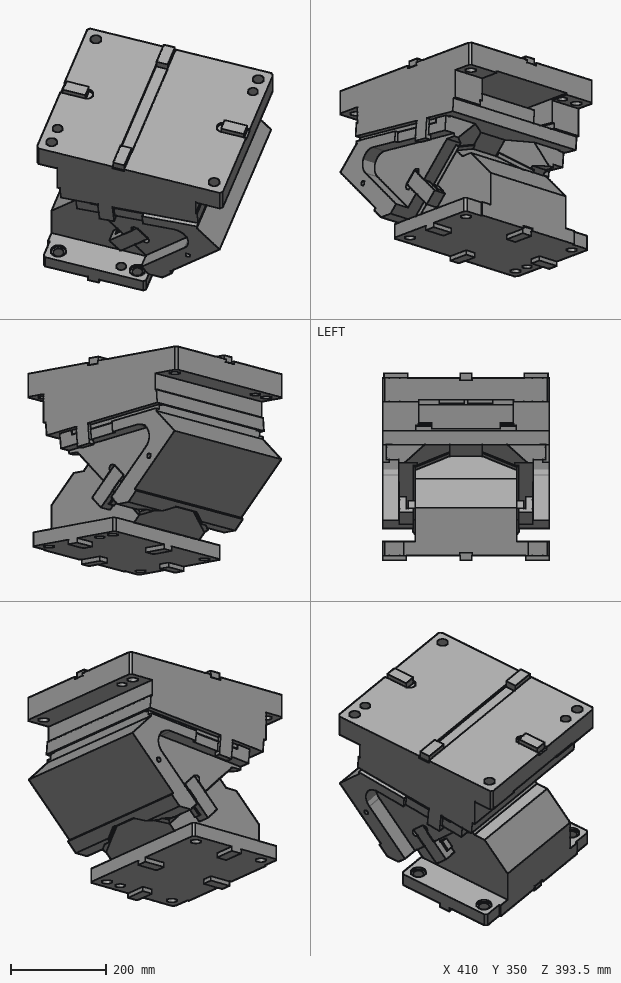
import cadquery as cq
import math

half_width = 175.0
far = 820.0

plate_length = 410.0
plate_thickness = 50.0
plate_top = 383.5
plate_bottom = plate_top - plate_thickness
corner_chamfer = 5.0
column_left = 46.0
column_right = 351.5
tilt = 5.0
foot_x, foot_z = 54.5, 243.0
foot_length = 304.0
foot_height = 29.0

key_height = 10.0
key_slot_depth = 5.7
key_slot_width = 26.2
key_width = 24.5
key_length = 50.0

cam_angle = -45.0
cam_x, cam_z = 117.3, 188.0
roof_length = 189.0
roof_half_width = 107.0
ridge_half_width = 34.0
roof_angle = math.radians(30)
roof_slope = math.tan(roof_angle)
ridge_height = (roof_half_width - ridge_half_width) * roof_slope

slide_half_width = 141.0
flange_half_width = 167.3
flange_depth = 34.5
side_underside = 6.5

clip_start = 81.0
clip_length = 32.5
clip_bottom = -44.3
hook_inner = 160.7

strap_start = 84.5
strap_width = 35.0
strap_bottom = -39.0
strap_top = 48.5
strap_inner = 125.0
strap_outer = 140.0
strap_foot_top = -26.5
strap_foot_inner = 110.3


def inclined_plane(x, z, angle):
    """XZ plane at (x, 0, z), its first axis raised by angle degrees from +X."""
    turn = math.radians(angle)
    return cq.Plane(origin=(x, 0, z), xDir=(math.cos(turn), 0, math.sin(turn)), normal=(0, -1, 0))


LEVEL = inclined_plane(0, 0, 0)
TILTED = inclined_plane(foot_x, foot_z, tilt)
CAM = inclined_plane(cam_x, cam_z, cam_angle)


def global_point(plane, first, second):
    """(x, z) of a point given on one of the inclined planes."""
    point = plane.toWorldCoords((first, second))
    return point.x, point.z


def box(plane, first, second, y_range):
    """Block on a plane, given by its ranges along the plane's two axes and along Y."""
    return (
        cq.Workplane(plane)
        .workplane(offset=-y_range[1])
        .center((first[0] + first[1]) / 2, (second[0] + second[1]) / 2)
        .rect(first[1] - first[0], second[1] - second[0])
        .extrude(y_range[1] - y_range[0])
    )


def both_sides(plane, first, second, inner, outer):
    """Two mirrored blocks, one on each side of Y = 0."""
    return box(plane, first, second, (inner, outer)).union(box(plane, first, second, (-outer, -inner)))


def prism(points, half):
    """Side outline in (x, z), extruded to both sides of Y = 0."""
    return cq.Workplane(LEVEL).polyline(points).close().extrude(half, both=True)


def cam_section(points, start, end):
    """Cross-section in (y, height above roof edge), extruded along the travel direction."""
    x, z = global_point(CAM, start, 0)
    plane = cq.Plane(origin=(x, 0, z), xDir=(0, 1, 0), normal=CAM.xDir.toTuple())
    return cq.Workplane(plane).polyline(points).close().extrude(end - start)


def vertical_holes(centers, diameter, bottom, top):
    """Vertical cylinders between two heights."""
    return (
        cq.Workplane("XY", origin=(0, 0, bottom))
        .pushPoints(centers)
        .circle(diameter / 2)
        .extrude(top - bottom)
    )


def cut_window(holder):
    """Window in the left side, running under the plate around a sloping inner block."""
    window_half_width = 99.2
    ceiling = plate_bottom + 3.5
    block_start = 53.5
    block_top = foot_height + 49.5
    edge_x, edge_z = global_point(TILTED, block_start, block_top)
    block_meets_ceiling = (edge_x + (ceiling - edge_z) / math.tan(math.radians(tilt)), ceiling)
    foot_corner = global_point(TILTED, 0, foot_height)
    window = prism(
        [
            (0, foot_corner[1]),
            foot_corner,
            global_point(TILTED, block_start, foot_height),
            (edge_x, edge_z),
            block_meets_ceiling,
            (0, ceiling),
        ],
        window_half_width,
    )

    boss_start = block_start + 41.0
    boss_inner, boss_outer = 4.0, 56.0
    bosses = both_sides(TILTED, (boss_start, far), (block_top, far), boss_inner, boss_outer)
    window = window.cut(bosses)

    notch_inner, notch_outer = 71.8, 105.0
    notch_mouth = 20.5
    notch_top = foot_height + 12.0
    notch_end = 102.5
    shelf_end = 127.0
    shelf = foot_height + 3.5
    notch_range = (-notch_mouth, notch_end)
    notch = both_sides(TILTED, notch_range, (foot_height, notch_top), notch_inner, notch_outer)
    upper_notch = both_sides(TILTED, (notch_end, shelf_end), (shelf, notch_top), notch_inner, notch_outer)
    return holder.cut(window.union(notch).union(upper_notch))


def make_holder():
    plate = box(LEVEL, (0, plate_length), (plate_bottom, plate_top), (-half_width, half_width))
    holder = plate.edges("|Z").chamfer(corner_chamfer)
    foot_top_left = global_point(TILTED, 0, foot_height)
    foot_top_right = global_point(TILTED, foot_length, foot_height)
    column = [
        (column_left, plate_bottom),
        (column_left, foot_top_left[1]),
        foot_top_left,
        global_point(TILTED, 0, 0),
        global_point(TILTED, foot_length, 0),
        foot_top_right,
        (column_right, foot_top_right[1]),
        (column_right, plate_bottom),
    ]
    holder = holder.union(prism(column, half_width))
    holder = cut_window(holder)

    slot_z = (plate_top - key_slot_depth, plate_top + 4)
    key_z = (plate_top - key_slot_depth, plate_top + key_height)
    slot_x = 181.0
    slot_range = (slot_x - key_slot_width / 2, slot_x + key_slot_width / 2)
    key_range = (slot_x - key_width / 2, slot_x + key_width / 2)
    key_end_y = 172.0
    holder = holder.cut(box(LEVEL, slot_range, slot_z, (-far, far)))
    holder = holder.union(both_sides(LEVEL, key_range, key_z, key_end_y - key_length, key_end_y))
    slot_length = 68.0
    key_gap = 5.5
    for end in (0, plate_length):
        inward = 1 if end == 0 else -1
        slot = (
            cq.Workplane("XY", origin=(end, 0, slot_z[0]))
            .slot2D(2 * slot_length, key_slot_width)
            .extrude(slot_z[1] - slot_z[0])
        )
        key_ends = sorted((end + inward * key_gap, end + inward * (key_gap + key_length)))
        key = box(LEVEL, key_ends, key_z, (-key_width / 2, key_width / 2))
        holder = holder.cut(slot).union(key)

    hole_inset = 26.0
    screw_hole = 23.0
    dowel_hole = 21.0
    hole_y = 150.0
    left, right = hole_inset, plate_length - hole_inset
    screw_centers = [(x, y) for x in (left, right) for y in (-hole_y, hole_y)]
    left_dowel_y, right_dowel_y = -110.3, 114.0
    dowel_centers = [(left, left_dowel_y), (right, right_dowel_y)]
    holder = holder.cut(vertical_holes(screw_centers, screw_hole, plate_bottom, plate_top))
    holder = holder.cut(vertical_holes(dowel_centers, dowel_hole, plate_bottom, plate_top))

    clip_range = (clip_start, clip_start + clip_length)
    leg = both_sides(TILTED, clip_range, (clip_bottom, 4), flange_half_width, half_width)
    hook = both_sides(TILTED, clip_range, (clip_bottom, -flange_depth), hook_inner, half_width)
    return holder.union(leg).union(hook)


def make_slide():
    left_end = 29.5
    right_end = 300.5
    nose_bottom = 205.0
    tail_bottom = 67.0
    underside_x = cam_x + cam_z + side_underside * math.sqrt(2)
    outline = [
        global_point(TILTED, left_end, 0),
        (87.7, nose_bottom),
        (underside_x - nose_bottom, nose_bottom),
        (underside_x - tail_bottom, tail_bottom),
        (278.5, tail_bottom),
        (299.5, 88.0),
        (295.0, 92.2),
        (404.5, 201.7),
        (354.2, 252.0),
        global_point(TILTED, right_end, 0),
    ]
    slide = prism(outline, half_width)

    clearance = 3.5
    deep = 164.0
    reach = roof_half_width + deep
    eave = -deep * roof_slope + clearance
    peak = ridge_height + clearance
    channel = [(-reach, eave), (-ridge_half_width, peak), (ridge_half_width, peak), (reach, eave)]
    slide = slide.cut(cam_section(channel, -far, far))

    wall_position = 154.0
    pocket_radius = 30.0
    under_flange = box(TILTED, (-far, far), (-far, -flange_depth), (slide_half_width, half_width))
    before_wall = box(CAM, (-far, wall_position), (-far, far), (slide_half_width, half_width))
    pocket = under_flange.intersect(before_wall).edges("|Y").edges(">X").fillet(pocket_radius)
    slide = slide.cut(pocket).cut(pocket.mirror("XZ"))

    step = 178.5
    ledge = -11.5
    rebate_start = 61.5
    rebate_half_width = 165.2
    top_gap = 1.5
    top_pad_half_width = 156.0
    slide = slide.cut(both_sides(TILTED, (-far, step), (-flange_depth, 4), flange_half_width, far))
    slide = slide.cut(both_sides(TILTED, (-far, far), (ledge, 4), flange_half_width, far))
    slide = slide.cut(both_sides(TILTED, (rebate_start, far), (ledge, 4), rebate_half_width, far))
    slide = slide.cut(both_sides(TILTED, (-far, far), (-top_gap, 4), top_pad_half_width, far))

    wear_thickness = 10.0
    wear_overhang = 10.2
    lean_y = wear_thickness * math.sin(roof_angle)
    lean_n = wear_thickness * math.cos(roof_angle)
    for side in (-1, 1):
        section = [
            (side * roof_half_width, 0),
            (side * (roof_half_width + lean_y), lean_n),
            (side * (ridge_half_width + lean_y), ridge_height + lean_n),
            (side * ridge_half_width, ridge_height),
        ]
        slide = slide.union(cam_section(section, -wear_overhang, roof_length))

    strap_range = (strap_start, strap_start + strap_width)
    relief_radius = 7.5
    relief_height = strap_top - 8.0
    for start in (-slide_half_width, strap_inner):
        reliefs = (
            cq.Workplane(CAM)
            .workplane(offset=start)
            .pushPoints([(travel, relief_height) for travel in strap_range])
            .circle(relief_radius)
            .extrude(slide_half_width - strap_inner)
        )
        slide = slide.cut(reliefs)
    strap_height = (strap_bottom, strap_top)
    slide = slide.cut(both_sides(CAM, strap_range, strap_height, strap_inner, slide_half_width))

    slide = slide.union(both_sides(CAM, strap_range, strap_height, strap_inner, strap_outer))
    foot_range = (strap_bottom, strap_foot_top)
    slide = slide.union(both_sides(CAM, strap_range, foot_range, strap_foot_inner, strap_outer))

    hole_x, hole_z = 334.0, 158.3
    hole_depth = 20.5
    wing_hole = 10.0
    for start in (-half_width, half_width - hole_depth):
        hole = (
            cq.Workplane(LEVEL)
            .workplane(offset=start)
            .center(hole_x, hole_z)
            .circle(wing_hole / 2)
            .extrude(hole_depth)
        )
        slide = slide.cut(hole)
    return slide


def make_adapter():
    front_x = 11.0
    base_left, base_right = 14.8, 240.5
    base_bottom, base_top = key_height, 39.8
    front_height = 110.5
    shoulder_z = 171.8
    upper_end = -1.2

    roof_end = global_point(CAM, roof_length, 0)
    base_end_x = roof_end[0] - roof_end[1] + base_top
    end_line = global_point(CAM, upper_end, 0)
    body = prism(
        [
            (front_x, base_bottom),
            (front_x, front_height),
            (front_x + shoulder_z - front_height, shoulder_z),
            (end_line[0] - end_line[1] + shoulder_z, shoulder_z),
            global_point(CAM, upper_end, ridge_height + 4),
            global_point(CAM, roof_length, ridge_height + 4),
            (base_end_x, base_top),
            (base_end_x, base_bottom),
        ],
        roof_half_width,
    )
    roof = [
        (-roof_half_width, -far),
        (-roof_half_width, 0),
        (-ridge_half_width, ridge_height),
        (ridge_half_width, ridge_height),
        (roof_half_width, 0),
        (roof_half_width, -far),
    ]
    body = body.intersect(cam_section(roof, -far, far))

    front_half_width = 130.5
    base_z = (base_bottom, base_top)
    base = box(LEVEL, (base_left, base_right), base_z, (-half_width, half_width))
    base = base.edges("|Z").chamfer(corner_chamfer)
    nose = box(LEVEL, (front_x, base_left), base_z, (-front_half_width, front_half_width))
    adapter = body.union(base).union(nose)

    rib_outer = 121.0
    rib_top = -4.5
    rib_range = (strap_start, strap_start + strap_width)
    ribs = both_sides(CAM, rib_range, (strap_foot_top, rib_top), roof_half_width, rib_outer)
    adapter = adapter.union(ribs)

    slot_top = base_bottom + key_slot_depth
    half_slot = key_slot_width / 2
    adapter = adapter.cut(box(LEVEL, (0, base_left), (0, slot_top), (-half_slot, half_slot)))
    for start in (base_left, base_right - key_length):
        key = box(LEVEL, (start, start + key_length), (0, base_bottom), (-key_width / 2, key_width / 2))
        adapter = adapter.union(key)
    side_key_x = 126.0
    key_range = (side_key_x - key_width / 2, side_key_x + key_width / 2)
    side_key_inner = half_width - key_length
    adapter = adapter.union(both_sides(LEVEL, key_range, (0, base_bottom), side_key_inner, half_width))

    screw_hole = 22.0
    counterbore = 32.0
    counterbore_depth = 5.0
    dowel_hole = 20.5
    hole_y = 150.0
    left_screw_x, right_screw_x = 40.5, 215.0
    dowel_x = 179.0
    screw_centers = [(x, y) for x in (left_screw_x, right_screw_x) for y in (-hole_y, hole_y)]
    adapter = adapter.cut(vertical_holes(screw_centers, screw_hole, base_bottom, base_top))
    adapter = adapter.cut(vertical_holes(screw_centers, counterbore, base_top - counterbore_depth, base_top))
    return adapter.cut(vertical_holes([(dowel_x, -hole_y)], dowel_hole, base_bottom, base_top))


holder = make_holder()
slide = make_slide()
adapter = make_adapter()
result = cq.Compound.makeCompound([holder.solids().val(), slide.solids().val(), adapter.solids().val()])